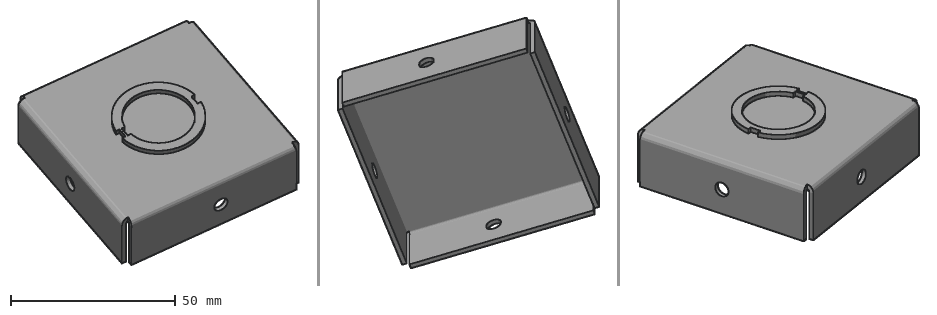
import cadquery as cq

WIDTH = 63.5
TOTAL_HEIGHT = 20.65
SHEET = 1.5
BEND_RADIUS = 2.3
FLANGE_INSET = 2.1

SIDE_HOLE_DIAMETER = 4.75
SIDE_HOLE_Z = 8.7
X_FLANGE_HOLE_Y = 2.5
Y_FLANGE_HOLE_X = 0.0

RING_HEIGHT = 1.6
RING_OUTER_DIAMETER = 28.6
RING_INNER_DIAMETER = 22.2
NOTCH_WIDTH = 3.4
NOTCH_FLOOR = 12.95
KEYWAY_FLOOR = 12.1

HOUSING_HEIGHT = TOTAL_HEIGHT - RING_HEIGHT


def make_rounded_block(width, height, top_radius):
    """Block standing on Z = 0 with its two top edges along Y rounded."""
    return (
        cq.Workplane("XY")
        .box(width, WIDTH, height, centered=(True, True, False))
        .edges(">Z and |Y")
        .fillet(top_radius)
    )


def make_bent_channel():
    """Top plate with the -X and +X flanges, whose ends taper in along the bend."""
    channel = make_rounded_block(WIDTH, HOUSING_HEIGHT, BEND_RADIUS).cut(
        make_rounded_block(WIDTH - 2 * SHEET, HOUSING_HEIGHT - SHEET, BEND_RADIUS - SHEET)
    )
    half_flange = WIDTH / 2 - FLANGE_INSET
    half_top = WIDTH / 2 - BEND_RADIUS
    bend_bottom = HOUSING_HEIGHT - BEND_RADIUS
    side_outline = (
        cq.Workplane("YZ")
        .polyline(
            [
                (-half_flange, 0),
                (half_flange, 0),
                (half_flange, bend_bottom),
                (half_top, HOUSING_HEIGHT),
                (-half_top, HOUSING_HEIGHT),
                (-half_flange, bend_bottom),
            ]
        )
        .close()
        .extrude(WIDTH / 2, both=True)
    )
    return channel.intersect(side_outline)


def make_side_hole(plane, offset):
    """Drill reaching through two opposite flanges."""
    return (
        cq.Workplane(plane)
        .center(offset, SIDE_HOLE_Z)
        .circle(SIDE_HOLE_DIAMETER / 2)
        .extrude(WIDTH / 2, both=True)
    )


def make_housing():
    x_channel = make_bent_channel()
    y_channel = x_channel.rotate((0, 0, 0), (0, 0, 1), 90)
    return (
        x_channel.union(y_channel)
        .cut(make_side_hole("YZ", X_FLANGE_HOLE_Y))
        .cut(make_side_hole("XZ", Y_FLANGE_HOLE_X))
    )


def make_notch_cutter(y_start, y_end):
    """Block of the notch width spanning the given stretch of Y, as tall as the ring."""
    return (
        cq.Workplane("XY", origin=(0, (y_start + y_end) / 2, HOUSING_HEIGHT))
        .rect(NOTCH_WIDTH, abs(y_end - y_start))
        .extrude(RING_HEIGHT)
    )


def make_ring():
    ring = (
        cq.Workplane("XY", origin=(0, 0, HOUSING_HEIGHT))
        .circle(RING_OUTER_DIAMETER / 2)
        .circle(RING_INNER_DIAMETER / 2)
        .extrude(RING_HEIGHT)
    )
    for side in (-1, 1):
        ring = ring.cut(make_notch_cutter(side * NOTCH_FLOOR, side * RING_OUTER_DIAMETER / 2))
    return ring.cut(make_notch_cutter(-KEYWAY_FLOOR, 0))


housing = make_housing()
ring = make_ring()

result = cq.Compound.makeCompound([housing.solids().val(), ring.solids().val()])